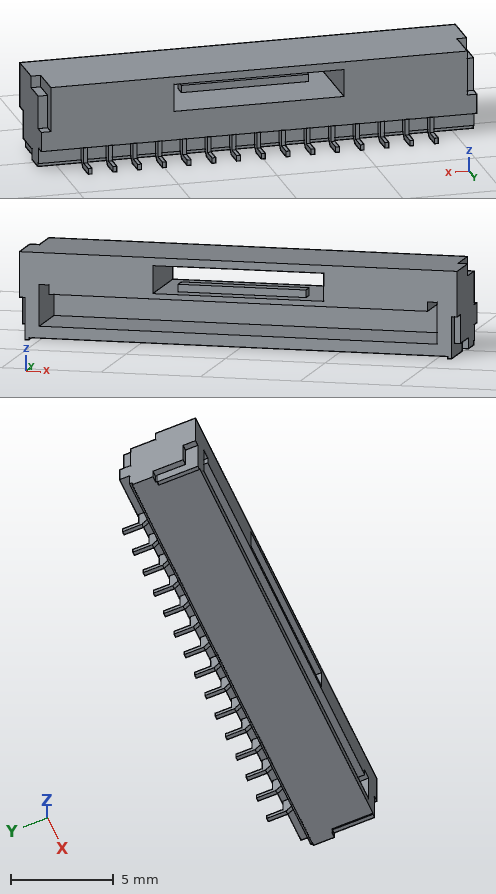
import cadquery as cq


LENGTH = 22.0
DEPTH = 4.05
HEIGHT = 4.35
FOOT_DROP = 0.1

STEP_HEIGHT = 1.1
STEP_INSET = 0.53
NOTCH_INSET = 0.13
NOTCH_TOP = 0.3

SLOT_WIDTH = 20.0
SLOT_DEPTH = 3.0
SLOT_BOTTOM = 0.7
SLOT_TOP = 2.3
KEY_WIDTH = 0.48
KEY_TOP = 2.77

WINDOW_WIDTH = 8.58
WINDOW_BOTTOM = 2.57
WINDOW_TOP = 3.95
RIB_WIDTH = 6.42
RIB_HEIGHT = 0.37
RIB_SETBACK = 0.77
RIB_DEPTH = 0.65

UPPER_RECESS_DEPTH = 0.48
UPPER_RECESS_LEG = 0.6
UPPER_RECESS_RUN = 1.91
LOWER_RECESS_DEPTH = 0.3
LOWER_RECESS_FRONT_LEG = 0.65
LOWER_RECESS_LEG_TOP = 0.65
LOWER_RECESS_RUN = 2.27
RECESS_LEVEL = 2.1

TAB_THICKNESS = 0.2
TAB_PROUD = 0.02
TAB_RUN = 2.18

LEAD_COUNT = 15
LEAD_SPAN = 17.5
LEAD_PITCH = LEAD_SPAN / (LEAD_COUNT - 1)
LEAD_WIDTH = 0.2
LEAD_REACH = 0.8
LEAD_FOOT_THICKNESS = 0.29
LEAD_SETBACK = 0.07
LEAD_BEVEL = 0.29


def box(x0, x1, y0, y1, z0, z1):
    """Box between two opposite corners."""
    return cq.Workplane("XY").box(x1 - x0, y1 - y0, z1 - z0, centered=False).translate((x0, y0, z0))


def centred_box(width, y0, y1, z0, z1):
    """Box of the given X width, centred on X = 0."""
    return box(-width / 2, width / 2, y0, y1, z0, z1)


def side_profile(points, x0, width):
    """Extrude a (Y, Z) outline along +X from x0."""
    return cq.Workplane("YZ").workplane(offset=x0).polyline(points).close().extrude(width)


def both_ends(solid):
    """The solid together with its mirror image at the other end."""
    return solid.union(solid.mirror("YZ"))


def make_housing():
    lower_rear = DEPTH - STEP_INSET
    outline = [
        (0, FOOT_DROP),
        (lower_rear - NOTCH_INSET, FOOT_DROP),
        (lower_rear - NOTCH_INSET, NOTCH_TOP),
        (lower_rear, NOTCH_TOP),
        (lower_rear, STEP_HEIGHT),
        (DEPTH, STEP_HEIGHT),
        (DEPTH, HEIGHT),
        (0, HEIGHT),
    ]
    return side_profile(outline, -LENGTH / 2, LENGTH)


def make_slot():
    slot = centred_box(SLOT_WIDTH, 0, SLOT_DEPTH, SLOT_BOTTOM, SLOT_TOP)
    slot_end = -SLOT_WIDTH / 2
    key = box(slot_end, slot_end + KEY_WIDTH, 0, SLOT_DEPTH, SLOT_BOTTOM, KEY_TOP)
    return slot.union(both_ends(key))


def make_window():
    window = centred_box(WINDOW_WIDTH, 0, DEPTH, WINDOW_BOTTOM, WINDOW_TOP)
    rib_top = WINDOW_BOTTOM + RIB_HEIGHT
    rib = centred_box(RIB_WIDTH, RIB_SETBACK, RIB_SETBACK + RIB_DEPTH, WINDOW_BOTTOM, rib_top)
    return window.cut(rib)


def make_upper_recesses():
    outline = [
        (DEPTH, RECESS_LEVEL),
        (DEPTH, HEIGHT),
        (DEPTH - UPPER_RECESS_RUN, HEIGHT),
        (DEPTH - UPPER_RECESS_RUN, HEIGHT - UPPER_RECESS_LEG),
        (DEPTH - UPPER_RECESS_LEG, HEIGHT - UPPER_RECESS_LEG),
        (DEPTH - UPPER_RECESS_LEG, RECESS_LEVEL),
    ]
    return both_ends(side_profile(outline, -LENGTH / 2, UPPER_RECESS_DEPTH))


def lower_l_outline(run, bottom):
    """Lower L-shaped outline, from the mating face back to the given run, down to the given bottom."""
    return [
        (0, bottom),
        (run, bottom),
        (run, LOWER_RECESS_LEG_TOP),
        (LOWER_RECESS_FRONT_LEG, LOWER_RECESS_LEG_TOP),
        (LOWER_RECESS_FRONT_LEG, RECESS_LEVEL),
        (0, RECESS_LEVEL),
    ]


def make_lower_recesses():
    outline = lower_l_outline(LOWER_RECESS_RUN, FOOT_DROP)
    return both_ends(side_profile(outline, -LENGTH / 2, LOWER_RECESS_DEPTH))


def make_solder_tabs():
    outline = lower_l_outline(TAB_RUN, 0)
    tab_face = -LENGTH / 2 + LOWER_RECESS_DEPTH - TAB_PROUD
    return both_ends(side_profile(outline, tab_face, TAB_THICKNESS))


def make_lead(x):
    root = DEPTH - STEP_INSET
    outer = DEPTH - LEAD_SETBACK
    outline = [
        (root, STEP_HEIGHT),
        (root, LEAD_BEVEL),
        (root + LEAD_BEVEL, 0),
        (DEPTH + LEAD_REACH, 0),
        (DEPTH + LEAD_REACH, LEAD_FOOT_THICKNESS),
        (outer, LEAD_FOOT_THICKNESS),
        (outer, STEP_HEIGHT),
    ]
    return side_profile(outline, x - LEAD_WIDTH / 2, LEAD_WIDTH)


result = make_housing()
result = result.cut(make_slot()).cut(make_window())
result = result.cut(make_upper_recesses()).cut(make_lower_recesses())
result = result.union(make_solder_tabs())
first_lead_x = -LEAD_SPAN / 2
for index in range(LEAD_COUNT):
    result = result.union(make_lead(first_lead_x + index * LEAD_PITCH))